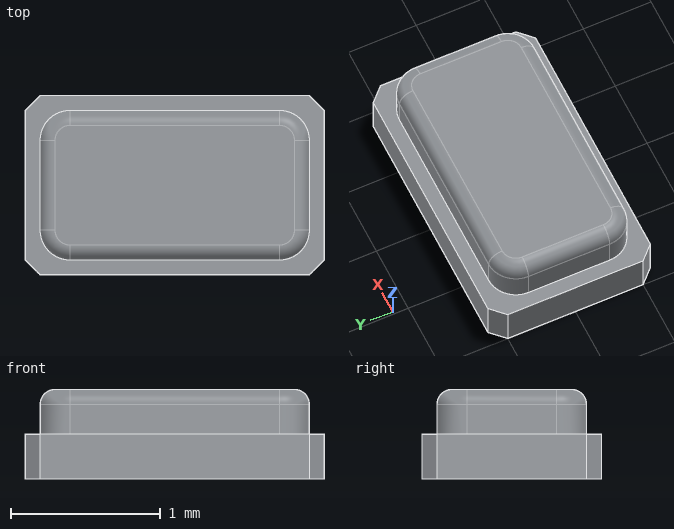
import cadquery as cq

base_length = 2.0
base_width = 1.2
base_height = 0.3
corner_chamfer = 0.1

lid_inset = 0.1
lid_height = 0.3
lid_corner_radius = 0.2
lid_top_radius = 0.1

lid_length = base_length - 2 * lid_inset
lid_width = base_width - 2 * lid_inset


def make_base():
    """Rectangular plate with its four vertical edges chamfered."""
    plate = cq.Workplane("XY").box(
        base_length, base_width, base_height, centered=(True, True, False)
    )
    return plate.edges("|Z").chamfer(corner_chamfer)


def make_lid():
    """Raised block with round corners and a rounded top rim."""
    block = (
        cq.Workplane("XY", origin=(0, 0, base_height))
        .rect(lid_length, lid_width)
        .extrude(lid_height)
    )
    rounded = block.edges("|Z").fillet(lid_corner_radius)
    return rounded.faces(">Z").edges().fillet(lid_top_radius)


result = make_base().union(make_lid())